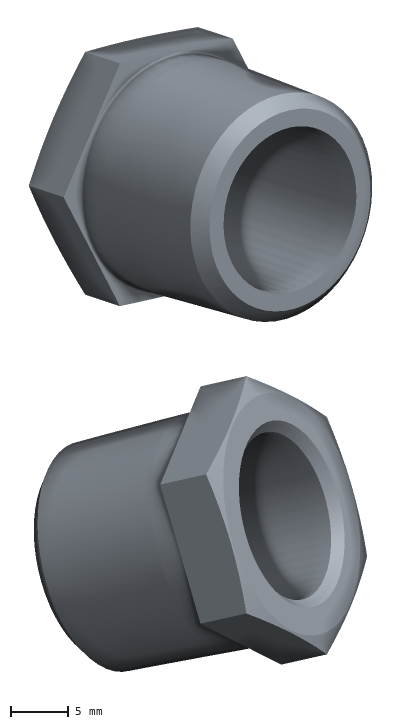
import cadquery as cq
import math

total_length = 21.0
hex_corners = 25.4
hex_length = 5.33

hex_face_diameter = 21.6
hex_trim_depth = 0.53

spigot_diameter = 21.25
root_fillet = 0.23
cylinder_end = 7.77
taper_end_diameter = 20.5
end_chamfer = 1.2

bore_diameter = 14.95
mouth_diameter = 16.65
mouth_depth = (mouth_diameter - bore_diameter) / 2


def revolve_about_x(outline):
    """Revolve a closed outline in the XZ plane about the X axis."""
    return outline.revolve(360, (0, 0, 0), (1, 0, 0))


def make_hexagon():
    """Hexagon with corners on Y and flats facing Z, trimmed by a cone."""
    prism = cq.Workplane("YZ").polygon(6, hex_corners).extrude(hex_length)
    trim_outline = cq.Workplane("XZ").polyline([
        (0, 0),
        (0, hex_face_diameter / 2),
        (hex_trim_depth, hex_corners / 2),
        (hex_length, hex_corners / 2),
        (hex_length, 0),
    ]).close()
    return prism.intersect(revolve_about_x(trim_outline))


def make_spigot():
    """Round spigot flaring into the hexagon's back face through a concave fillet."""
    spigot_radius = spigot_diameter / 2
    taper_end_radius = taper_end_diameter / 2
    fillet_end = hex_length + root_fillet
    fillet_top_radius = spigot_radius + root_fillet
    to_arc_middle = root_fillet * math.sin(math.pi / 4)
    fillet_middle = (fillet_end - to_arc_middle, fillet_top_radius - to_arc_middle)
    outline = (
        cq.Workplane("XZ")
        .moveTo(hex_length, 0)
        .lineTo(hex_length, fillet_top_radius)
        .threePointArc(fillet_middle, (fillet_end, spigot_radius))
        .lineTo(cylinder_end, spigot_radius)
        .lineTo(total_length - end_chamfer, taper_end_radius)
        .lineTo(total_length, taper_end_radius - end_chamfer)
        .lineTo(total_length, 0)
        .close()
    )
    return revolve_about_x(outline)


def make_bore():
    """Solid of the through bore and its countersunk mouth."""
    bore_radius = bore_diameter / 2
    outline = cq.Workplane("XZ").polyline([
        (0, 0),
        (0, mouth_diameter / 2),
        (mouth_depth, bore_radius),
        (total_length, bore_radius),
        (total_length, 0),
    ]).close()
    return revolve_about_x(outline)


result = make_hexagon().union(make_spigot()).cut(make_bore())